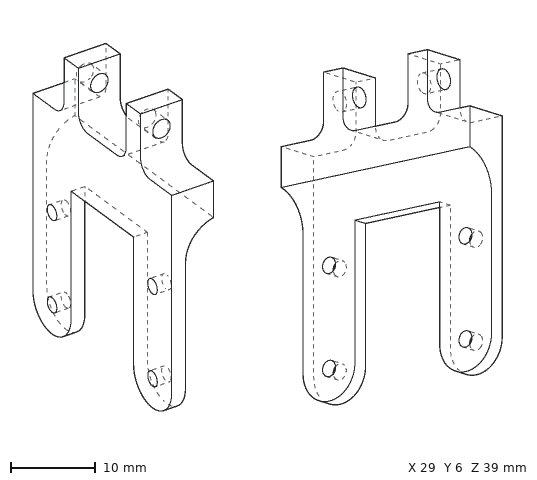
import cadquery as cq

height = 39.0
width = 29.0
depth = 6.0
shoulder_height = 31.0

leg_width = 8.0
leg_thickness = 2.0
leg_end_radius = leg_width / 2
leg_center_x = width / 2 - leg_width / 2
slot_top = 21.45

leg_hole_diameter = 2.0
leg_hole_spacing = 21.0
lower_hole_height = leg_end_radius
upper_hole_height = 16.6

relief_radius = 5.0
relief_center_height = 21.1

lug_thickness = 3.0
lug_spacing = 13.0
lug_fillet = 2.0
lug_hole_diameter = 2.5
lug_hole_height = height - depth / 2


def leg(center_x):
    """Full-depth leg with a rounded lower end."""
    bar_height = slot_top - leg_end_radius
    bar = cq.Workplane("XY").box(leg_width, depth, bar_height, centered=(True, False, False))
    bar = bar.translate((center_x, 0, leg_end_radius))
    end = cq.Workplane("XZ").center(center_x, leg_end_radius).circle(leg_end_radius).extrude(-depth)
    return bar.union(end)


def lug(center_x):
    """Upright lug that flares into the shoulder with a fillet on both sides."""
    half = lug_thickness / 2
    fillet_top = shoulder_height + lug_fillet
    return (
        cq.Workplane("XZ")
        .center(center_x, 0)
        .moveTo(-half, height)
        .lineTo(half, height)
        .lineTo(half, fillet_top)
        .radiusArc((half + lug_fillet, shoulder_height), -lug_fillet)
        .lineTo(half + lug_fillet, slot_top)
        .lineTo(-half - lug_fillet, slot_top)
        .lineTo(-half - lug_fillet, shoulder_height)
        .radiusArc((-half, fillet_top), -lug_fillet)
        .close()
        .extrude(-depth)
    )


def back_relief():
    """Cutter that thins the legs from the back and ends in a concave arc."""
    block = (
        cq.Workplane("XY")
        .box(width, depth, relief_center_height, centered=(True, False, False))
        .translate((0, leg_thickness, 0))
    )
    arc = (
        cq.Workplane("YZ")
        .center(leg_thickness + relief_radius, relief_center_height)
        .circle(relief_radius)
        .extrude(width / 2, both=True)
    )
    return block.union(arc)


body_height = shoulder_height - slot_top
result = (
    cq.Workplane("XY")
    .box(width, depth, body_height, centered=(True, False, False))
    .translate((0, 0, slot_top))
)
for side in (-1, 1):
    result = result.union(leg(side * leg_center_x))
    result = result.union(lug(side * lug_spacing / 2))

result = result.cut(back_relief())

leg_holes = [
    (side * leg_hole_spacing / 2, hole_height)
    for side in (-1, 1)
    for hole_height in (lower_hole_height, upper_hole_height)
]
result = result.cut(
    cq.Workplane("XZ").pushPoints(leg_holes).circle(leg_hole_diameter / 2).extrude(-depth)
)

result = result.cut(
    cq.Workplane("YZ")
    .center(depth / 2, lug_hole_height)
    .circle(lug_hole_diameter / 2)
    .extrude(width / 2, both=True)
)